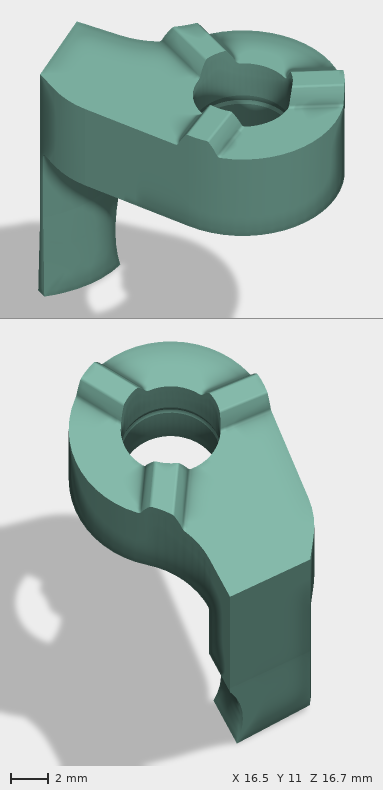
import cadquery as cq
import math


head_radius = 11.0 / 2
head_height = 5.33
bore_diameter = 5.4
neck_radius = 5.0
tangent_angle = 5.0
arm_corner = (-10.82, 1.55)
nose_corner = (-10.55, -3.35)
nose_bend_x = -8.27

groove_depth = 0.1
groove_bottom = 2.5
groove_apex = 2.7
groove_top = 3.09

tooth_count = 3
first_tooth_angle = 30.0
tooth_height = 1.0
crest_half_width = 0.63
base_half_width = 1.2
flank_radius = 3.0
footing_half_width = 1.67
footing_depth = 0.33
tooth_rounding = 0.2

blade_back_x = -8.15
blade_radius = 7.06
shank_rounding = 0.2
taper_start = -4.48
tip_top = -4.86
tip_bottom = -10.37
face_taper = 0.18
back_taper = 0.13
side_radius = 7.1
tip_heel_y = 1.22
end_slope = 5.8

margin = 3.34

flank_slope = math.radians(tangent_angle)
lower_tangent = (-head_radius * math.sin(flank_slope), -head_radius * math.cos(flank_slope))
nose_bend = (
    nose_bend_x,
    lower_tangent[1] + (lower_tangent[0] - nose_bend_x) * math.tan(flank_slope),
)

blade_axis = (blade_back_x - blade_radius, arm_corner[1])


def head_outline():
    """Plan of the head, with the nose bend still sharp."""
    neck_y = arm_corner[1] + neck_radius
    neck_span = head_radius + neck_radius
    neck_x = -math.sqrt(neck_span**2 - neck_y**2)
    share = head_radius / neck_span
    upper_tangent = (neck_x * share, neck_y * share)
    return (
        cq.Workplane("XY")
        .moveTo(*arm_corner)
        .lineTo(*nose_corner)
        .lineTo(*nose_bend)
        .lineTo(*lower_tangent)
        .threePointArc((head_radius, 0), upper_tangent)
        .radiusArc((neck_x, arm_corner[1]), neck_radius)
        .close()
    )


def head_prism(height):
    """Head outline raised to a height, with the nose bend rounded."""
    bend = cq.selectors.BoxSelector(
        (nose_bend[0] - 0.17, nose_bend[1] - 0.17, 0), (nose_bend[0] + 0.17, nose_bend[1] + 0.17, height)
    )
    return head_outline().extrude(height).edges("|Z").edges(bend).fillet(neck_radius)


def tooth():
    """Rib with bulging flanks on a thin footing sunk in the head, running from the bore axis along +X."""
    top = head_height + tooth_height
    length = head_radius + margin
    rib = (
        cq.Workplane("YZ")
        .moveTo(-footing_half_width, head_height - footing_depth)
        .lineTo(-footing_half_width, head_height)
        .lineTo(-base_half_width, head_height)
        .radiusArc((-crest_half_width, top), flank_radius)
        .lineTo(crest_half_width, top)
        .radiusArc((base_half_width, head_height), flank_radius)
        .lineTo(footing_half_width, head_height)
        .lineTo(footing_half_width, head_height - footing_depth)
        .close()
        .extrude(length)
    )
    corners = cq.selectors.BoxSelector(
        (0, -base_half_width - 0.17, head_height - footing_depth / 2),
        (length, base_half_width + 0.17, top + 0.17),
    )
    return rib.edges("|X").edges(corners).fillet(tooth_rounding)


def bore():
    """Through bore with its V groove, to be cut from the head."""
    radius = bore_diameter / 2
    top = head_height + tooth_height
    return (
        cq.Workplane("XZ")
        .lineTo(radius, 0)
        .lineTo(radius, groove_bottom)
        .lineTo(radius + groove_depth, groove_apex)
        .lineTo(radius, groove_top)
        .lineTo(radius, top)
        .lineTo(0, top)
        .close()
        .revolve(360, (0, 0), (0, 1))
    )


def toothed_head():
    """Bored head with the teeth trimmed to its outline."""
    teeth_area = head_prism(head_height + tooth_height)
    head = head_prism(head_height)
    for index in range(tooth_count):
        angle = first_tooth_angle + index * 360 / tooth_count
        rib = tooth().rotate((0, 0, 0), (0, 0, 1), angle)
        head = head.union(rib.intersect(teeth_area))
    return head.cut(bore())


def blade_back():
    """Round solid, flared below the taper start, whose outside is the back of the blade."""
    return (
        cq.Workplane("XZ")
        .moveTo(0, 0)
        .lineTo(blade_radius + shank_rounding, 0)
        .radiusArc((blade_radius, -shank_rounding), -shank_rounding)
        .lineTo(blade_radius, taper_start)
        .lineTo(blade_radius + back_taper, tip_bottom)
        .lineTo(0, tip_bottom)
        .close()
        .revolve(360, (0, 0), (0, 1))
        .translate((*blade_axis, 0))
    )


def blade_face():
    """Solid behind the -X face, which leans outward below the taper start."""
    face_dx = nose_corner[0] - arm_corner[0]
    face_dy = nose_corner[1] - arm_corner[1]
    lean = math.degrees(math.atan2(face_dx, -face_dy))
    side = (
        cq.Workplane("XZ")
        .moveTo(0, 0)
        .lineTo(0, taper_start)
        .lineTo(-face_taper, tip_bottom)
        .lineTo(2 * margin, tip_bottom)
        .lineTo(2 * margin, 0)
        .close()
        .extrude(3 * margin, both=True)
    )
    return side.rotate((0, 0, 0), (0, 0, 1), lean).translate((*arm_corner, 0))


def blade_sides():
    """Solid between the straight +Y side and the nose flank, with the hollow and sloped end."""
    far_y = tip_heel_y - 2 * margin
    far_z = tip_bottom + 2 * margin * math.tan(math.radians(end_slope))
    profile = (
        cq.Workplane("YZ", origin=(arm_corner[0] - margin, 0, 0))
        .moveTo(arm_corner[1], 0)
        .lineTo(arm_corner[1], tip_top)
        .radiusArc((tip_heel_y, tip_bottom), -side_radius)
        .lineTo(far_y, far_z)
        .lineTo(far_y, 0)
        .close()
        .extrude(3 * margin)
    )
    nose_slope = (nose_bend[1] - nose_corner[1]) / (nose_bend[0] - nose_corner[0])
    left = nose_corner[0] - margin
    right = nose_corner[0] + margin
    flank = (
        cq.Workplane("XY")
        .moveTo(left, nose_corner[1] - margin * nose_slope)
        .lineTo(right, nose_corner[1] + margin * nose_slope)
        .lineTo(right, arm_corner[1])
        .lineTo(left, arm_corner[1])
        .close()
        .extrude(tip_bottom)
    )
    return profile.intersect(flank)


def level_slab(top, bottom):
    """Wide block that keeps the part of the blade between two heights."""
    size = 10 * margin
    return cq.Workplane("XY", origin=(0, 0, bottom)).rect(size, size).extrude(top - bottom)


blade = blade_back().intersect(blade_face()).intersect(blade_sides())
holder = toothed_head().union(blade.intersect(level_slab(0, tip_top)))
tip = blade.intersect(level_slab(tip_top, tip_bottom))

result = cq.Compound.makeCompound([holder.val(), tip.val()])